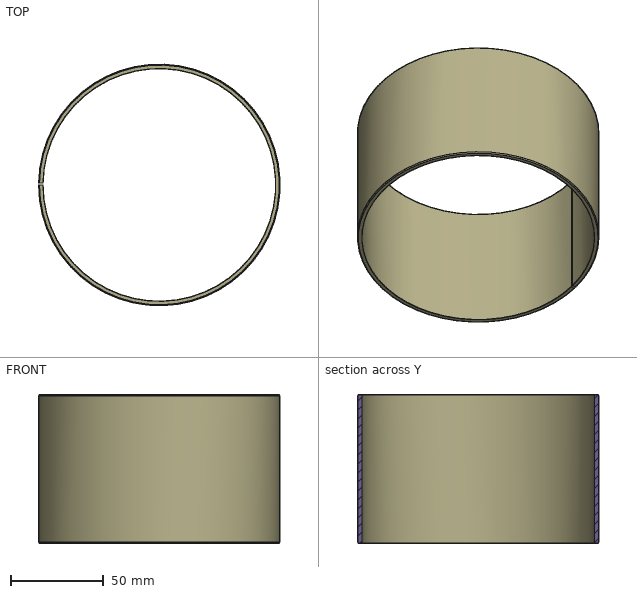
import cadquery as cq

outer_diameter = 130.0
wall = 2.5
length = 80.0
slit_angle = 0.9
outer_chamfer_height = 0.6
outer_chamfer_depth = 0.5
inner_chamfer = 0.1

outer_radius = outer_diameter / 2
inner_radius = outer_radius - wall
half_length = length / 2

wall_section = [
    (-inner_radius, -half_length + inner_chamfer),
    (-inner_radius - inner_chamfer, -half_length),
    (-outer_radius + outer_chamfer_depth, -half_length),
    (-outer_radius, -half_length + outer_chamfer_height),
    (-outer_radius, half_length - outer_chamfer_height),
    (-outer_radius + outer_chamfer_depth, half_length),
    (-inner_radius - inner_chamfer, half_length),
    (-inner_radius, half_length - inner_chamfer),
]

result = (
    cq.Workplane("XZ")
    .polyline(wall_section)
    .close()
    .revolve(360 - slit_angle, (0, 0), (0, 1))
)